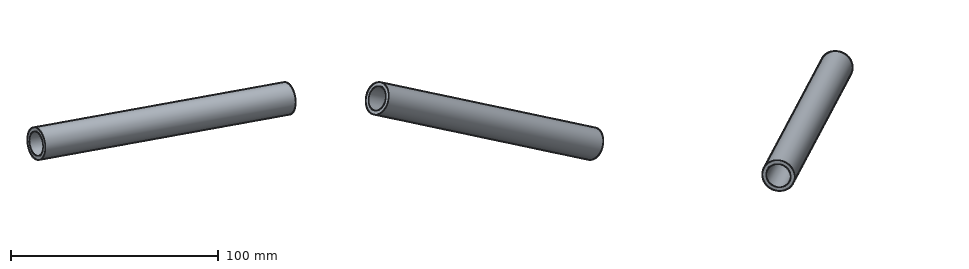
import cadquery as cq

length = 144.0
outer_diameter = 16.0
bore_diameter = 12.0

result = (
    cq.Workplane("XZ", origin=(0, length / 2, 0))
    .circle(outer_diameter / 2)
    .circle(bore_diameter / 2)
    .extrude(length)
)